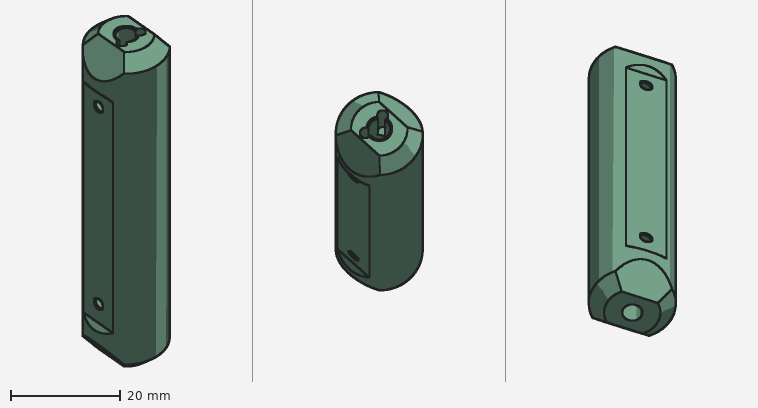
import cadquery as cq
import math

BODY_DIAMETER = 16.0
BODY_LENGTH = 75.0
BODY_RADIUS = BODY_DIAMETER / 2
HALF_LENGTH = BODY_LENGTH / 2

END_CHAMFER = 2.83

END_FLAT_HALF_WIDTH = 3.75
BEVEL_ANGLE = 35.0
BEVEL_DROP = (BODY_RADIUS - END_FLAT_HALF_WIDTH) / math.tan(math.radians(BEVEL_ANGLE))

RECESS_FLOOR_WIDTH = 8.0
RECESS_FLOOR_LENGTH = 55.0
RECESS_FLOOR_Y = math.sqrt(BODY_RADIUS**2 - (RECESS_FLOOR_WIDTH / 2)**2)
RECESS_DEPTH = BODY_RADIUS - RECESS_FLOOR_Y

BORE_DIAMETER = 3.7
WIDE_BORE_DIAMETER = 4.0
WIDE_BORE_DEPTH = 20.0
BORE_MOUTH_DIAMETER = 4.7
BORE_MOUTH_DEPTH = 0.25

PIN_DIAMETER = 2.0
PIN_DEPTH = 10.0
PIN_X = 1.3
PIN_Y = 2.3

CROSS_DIAMETER = 2.0
CROSS_MOUTH_DIAMETER = 2.5
CROSS_PITCH = 47.0
CROSS_CENTRE_Z = 0.5


def make_body():
    base = cq.Workplane("XY").workplane(offset=-HALF_LENGTH)
    blank = base.circle(BODY_RADIUS).extrude(BODY_LENGTH)
    return blank.faces("|Z").chamfer(END_CHAMFER)


def make_side_envelope():
    """Prism along X whose YZ outline carries the end bevels and the recesses."""
    floor_z = RECESS_FLOOR_LENGTH / 2
    ramp_z = floor_z + RECESS_DEPTH
    bevel_z = HALF_LENGTH - BEVEL_DROP
    upper_right = [
        (RECESS_FLOOR_Y, floor_z),
        (BODY_RADIUS, ramp_z),
        (BODY_RADIUS, bevel_z),
        (END_FLAT_HALF_WIDTH, HALF_LENGTH),
    ]
    upper_left = [(-y, z) for y, z in reversed(upper_right)]
    upper = upper_right + upper_left
    lower = [(-y, -z) for y, z in upper]
    return cq.Workplane("YZ").polyline(upper + lower).close().extrude(BODY_RADIUS, both=True)


def make_bore():
    top = cq.Workplane("XY").workplane(offset=HALF_LENGTH)
    bore = top.circle(BORE_DIAMETER / 2).extrude(-BODY_LENGTH)
    wide_bore = top.circle(WIDE_BORE_DIAMETER / 2).extrude(-WIDE_BORE_DEPTH)
    mouth = cq.Solid.makeCone(
        BORE_MOUTH_DIAMETER / 2,
        WIDE_BORE_DIAMETER / 2,
        BORE_MOUTH_DEPTH,
        pnt=cq.Vector(0, 0, HALF_LENGTH),
        dir=cq.Vector(0, 0, -1),
    )
    return bore.union(wide_bore).union(cq.Workplane(mouth))


def make_pin_holes():
    top = cq.Workplane("XY").workplane(offset=HALF_LENGTH)
    centres = [(PIN_X, -PIN_Y), (PIN_X, PIN_Y)]
    return top.pushPoints(centres).circle(PIN_DIAMETER / 2).extrude(-PIN_DEPTH)


def make_cross_hole(z):
    """Through hole along Y at height z, with a countersink at each recess floor."""
    hole = cq.Workplane("XZ").center(0, z).circle(CROSS_DIAMETER / 2).extrude(BODY_RADIUS, both=True)
    mouth_depth = (CROSS_MOUTH_DIAMETER - CROSS_DIAMETER) / 2
    for side in (-1, 1):
        mouth = cq.Solid.makeCone(
            CROSS_MOUTH_DIAMETER / 2,
            CROSS_DIAMETER / 2,
            mouth_depth,
            pnt=cq.Vector(0, side * RECESS_FLOOR_Y, z),
            dir=cq.Vector(0, -side, 0),
        )
        hole = hole.union(cq.Workplane(mouth))
    return hole


result = make_body().intersect(make_side_envelope())
result = result.cut(make_bore()).cut(make_pin_holes())
for end in (-1, 1):
    result = result.cut(make_cross_hole(CROSS_CENTRE_Z + end * CROSS_PITCH / 2))